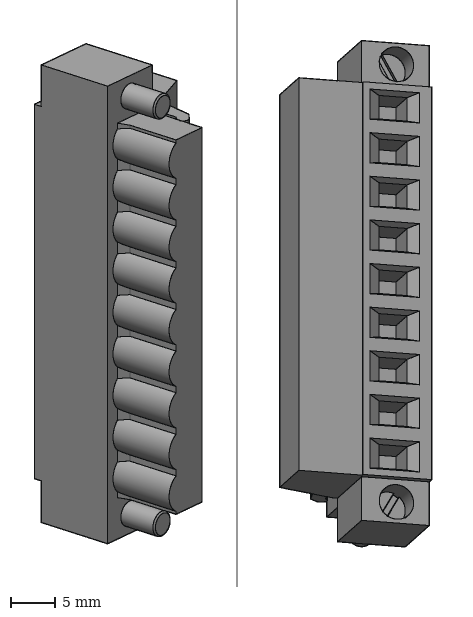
import cadquery as cq

pole_count = 9
total_height = 55.9
pitch = total_height / (pole_count + 2)
poles_bottom = pitch
poles_height = pole_count * pitch

housing_width = 10.7
housing_depth = 15.5
entry_depth = 8.05
entry_step = 0.35
roof_width = 8.05
slope_foot = 8.5

ear_setback = 1.0
ear_depth = 7.95
screw_y = 3.85
screw_end_distance = 2.45
screw_hole_diameter = 4.0
screw_head_recess = 3.35
screw_slot_width = 0.7
screw_slot_depth = 0.55
screw_slot_angle = 30.0
screw_tip_diameter = 3.0
screw_tip_length = 4.85
screw_tip_chamfer = 0.195

funnel_y = 4.35
funnel_width = 5.8
funnel_height = 3.5
funnel_depth = 1.0
throat_y = 4.25
throat_width = 3.3
throat_height = 2.75
throat_depth = 4.45

plug_end = 18.85
plug_floor = 2.2
plug_back = 6.8
barrel_front = 0.95
barrel_radius = 2.5
ramp_length = 1.45
ramp_rise = 0.45

latch_inset = 0.65
latch_root_x = 8.95
latch_top = (9.9, 10.8)
latch_shoulder_start = (13.95, 10.1)
latch_shoulder_middle = (14.25, 10.0)
latch_shoulder_end = (14.55, 9.7)
latch_tip_top = (15.1, 9.1)
latch_tip_end = (15.2, 8.5)
latch_tip_bottom = (14.65, 8.0)
latch_tip_inner = (14.1, 8.1)
latch_heel = (13.65, slope_foot)


def pole_center(index):
    return poles_bottom + (index + 0.5) * pitch


def pole_prism(points):
    """Extrude an XY outline over the height of all poles."""
    return cq.Workplane("XY", origin=(0, 0, poles_bottom)).polyline(points).close().extrude(poles_height)


def make_housing():
    return pole_prism(
        [
            (0, 0),
            (housing_width, 0),
            (housing_width, slope_foot),
            (roof_width, housing_depth),
            (entry_step, housing_depth),
            (entry_step, entry_depth),
            (0, entry_depth),
        ]
    )


def make_ears():
    ear_length = housing_width - ear_setback
    ears = cq.Workplane("XY").box(ear_length, ear_depth, total_height, centered=False)
    return ears.translate((ear_setback, 0, 0))


def make_latch():
    return (
        cq.Workplane("XY", origin=(0, 0, poles_bottom + latch_inset))
        .moveTo(latch_root_x, slope_foot)
        .lineTo(latch_root_x, latch_top[1])
        .lineTo(*latch_top)
        .lineTo(*latch_shoulder_start)
        .threePointArc(latch_shoulder_middle, latch_shoulder_end)
        .lineTo(*latch_tip_top)
        .threePointArc(latch_tip_end, latch_tip_bottom)
        .lineTo(*latch_tip_inner)
        .lineTo(*latch_heel)
        .close()
        .extrude(poles_height - 2 * latch_inset)
    )


def make_plug_base():
    """Flat slab behind the barrels, thickened by a ramp at the housing."""
    return pole_prism(
        [
            (housing_width, plug_floor - ramp_rise),
            (housing_width + ramp_length, plug_floor),
            (plug_end, plug_floor),
            (plug_end, plug_back),
            (housing_width, plug_back),
        ]
    )


def make_barrel(z):
    return (
        cq.Workplane("YZ", origin=(housing_width, barrel_front + barrel_radius, z))
        .circle(barrel_radius)
        .extrude(plug_end - housing_width)
    )


def x_cylinder(diameter, length, x, z):
    """Cylinder along +X on the screw axis, starting at x."""
    return cq.Workplane("YZ", origin=(x, screw_y, z)).circle(diameter / 2).extrude(length)


def make_screw_tip(z):
    tip = x_cylinder(screw_tip_diameter, screw_tip_length, housing_width, z)
    return tip.faces(">X").chamfer(screw_tip_chamfer)


def make_screw_recess(z, slot_tilt):
    """Round recess down to the screw head, plus the driver slot cut into the head."""
    recess = x_cylinder(screw_hole_diameter, screw_head_recess, ear_setback, z)
    head_x = ear_setback + screw_head_recess
    slot = (
        cq.Workplane("YZ", origin=(head_x, screw_y, z))
        .transformed(rotate=(0, 0, slot_tilt))
        .rect(screw_slot_width, screw_hole_diameter)
        .extrude(screw_slot_depth)
    )
    slot_in_head = slot.intersect(x_cylinder(screw_hole_diameter, screw_slot_depth, head_x, z))
    return recess.union(slot_in_head)


def make_wire_entry(z):
    """Tapered funnel leading into a straight rectangular throat."""
    funnel = (
        cq.Workplane("YZ", origin=(0, funnel_y, z))
        .rect(funnel_width, funnel_height)
        .workplane(offset=funnel_depth)
        .center(throat_y - funnel_y, 0)
        .rect(throat_width, throat_height)
        .loft(ruled=True)
    )
    throat = (
        cq.Workplane("YZ", origin=(funnel_depth, throat_y, z))
        .rect(throat_width, throat_height)
        .extrude(throat_depth)
    )
    return funnel.union(throat)


result = make_housing().union(make_ears()).union(make_latch()).union(make_plug_base())

for pole in range(pole_count):
    result = result.union(make_barrel(pole_center(pole)))
    result = result.cut(make_wire_entry(pole_center(pole)))

lower_screw_z = screw_end_distance
upper_screw_z = total_height - screw_end_distance
for screw_z, tilt in ((lower_screw_z, screw_slot_angle), (upper_screw_z, -screw_slot_angle)):
    result = result.union(make_screw_tip(screw_z))
    result = result.cut(make_screw_recess(screw_z, tilt))